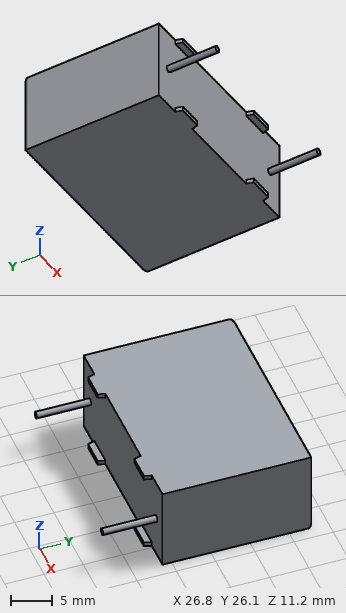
import cadquery as cq

overall_length = 26.1
housing_width = 26.8
housing_height = 11.21
edge_radius = 0.7

foot_length = 0.9
foot_root_width = 3.8
foot_tip_width = 3.25
foot_thickness = 0.6
foot_spacing = 15.75

pin_diameter = 0.85
pin_spacing = 22.5
pin_reach_past_feet = 6.0

pin_length = foot_length + pin_reach_past_feet
housing_length = overall_length - pin_length


def make_foot(x_center, z_bottom):
    """Tapered standoff foot that starts on the pin face, wide end at the housing."""
    outline = [
        (x_center - foot_root_width / 2, 0),
        (x_center - foot_tip_width / 2, -foot_length),
        (x_center + foot_tip_width / 2, -foot_length),
        (x_center + foot_root_width / 2, 0),
    ]
    return (
        cq.Workplane("XY", origin=(0, 0, z_bottom))
        .polyline(outline)
        .close()
        .extrude(foot_thickness)
    )


def make_housing():
    """Box with the edges of its back face rounded and four feet around the pin face."""
    housing = (
        cq.Workplane("XY")
        .box(housing_width, housing_length, housing_height, centered=(True, False, True))
        .faces(">Y")
        .edges()
        .fillet(edge_radius)
    )
    lower_foot_z = -housing_height / 2
    upper_foot_z = housing_height / 2 - foot_thickness
    for x_center in (-foot_spacing / 2, foot_spacing / 2):
        for z_bottom in (lower_foot_z, upper_foot_z):
            housing = housing.union(make_foot(x_center, z_bottom))
    return housing


def make_pin(x_center):
    """Round lead that butts against the pin face at mid height."""
    return (
        cq.Workplane("XZ", origin=(x_center, 0, 0))
        .circle(pin_diameter / 2)
        .extrude(pin_length)
    )


housing = make_housing()
pins = [make_pin(x_center) for x_center in (-pin_spacing / 2, pin_spacing / 2)]

result = cq.Compound.makeCompound([housing.val(), *[pin.val() for pin in pins]])